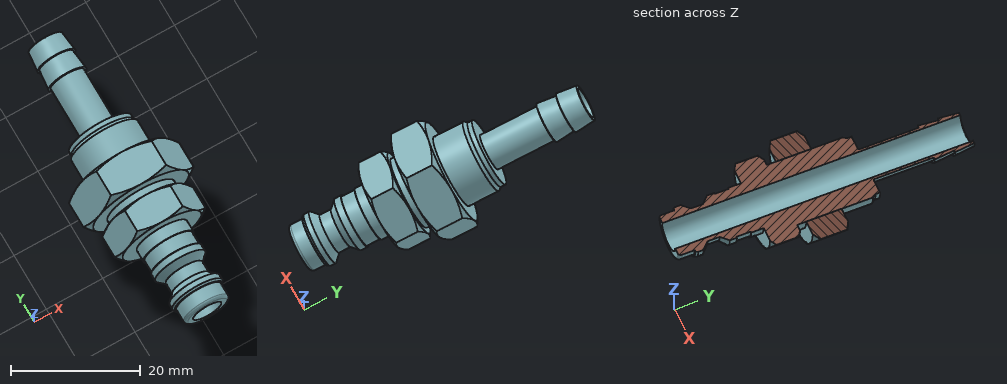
import cadquery as cq
import math

length = 50.0
bore_radius = 2.5

tip_radius = 4.0
tip_round = 0.5
plug_radius = 4.5
neck_radius = 3.3
relief_radius = 4.3
collar_start = 2.65
collar_lead_end = 3.05
collar_lead_size = 0.2
collar_end = 3.95
neck_cone_run = plug_radius - neck_radius
shoulder_start = 8.35
relief_start = 9.55
relief_end = 11.95

hex_start = 14.0
hex_width = 14.0
hex_height = 5.05

barrel_radius = 6.0
barrel_end = 33.1
barrel_step_radius = 5.6
barrel_step_length = 0.8
barrel_chamfer_run = 0.6

tail_radius = 3.0
barb_small_radius = 3.05
barb_large_radius = 3.4
barb_length = 3.4
barb_count = 2

nut_start = 20.5
nut_width = 17.0
nut_height = 6.0

corner_chamfer_angle = 30.0


def chamfered_hexagon(start, width, height):
    """Hexagonal prism along +Y, corners on the X axis, both ends coned off from the inscribed circle."""
    flat_radius = width / 2
    corner_radius = flat_radius / math.cos(math.radians(30))
    cone_run = (corner_radius - flat_radius) * math.tan(math.radians(corner_chamfer_angle))
    end = start + height
    prism = (
        cq.Workplane("XZ", origin=(0, start, 0))
        .polygon(6, 2 * corner_radius)
        .extrude(-height)
    )
    envelope = (
        cq.Workplane("XY")
        .polyline([
            (0, start),
            (flat_radius, start),
            (corner_radius, start + cone_run),
            (corner_radius, end - cone_run),
            (flat_radius, end),
            (0, end),
        ])
        .close()
        .revolve(360, (0, 0), (0, 1))
    )
    return prism.intersect(envelope)


def through_hole(radius):
    """Cylinder on the axis, over the full length of the fitting."""
    return cq.Workplane("XZ").circle(radius).extrude(-length)


def plug_outline():
    """Rounded tip, collar, locking neck and relieved shank, up to the fixed hexagon."""
    round_offset = tip_round * math.sin(math.radians(45))
    return (
        cq.Workplane("XY")
        .lineTo(tip_radius - tip_round, 0)
        .threePointArc(
            (tip_radius - tip_round + round_offset, tip_round - round_offset),
            (tip_radius, tip_round),
        )
        .lineTo(tip_radius, collar_start)
        .lineTo(plug_radius - collar_lead_size, collar_start)
        .lineTo(plug_radius, collar_lead_end)
        .lineTo(plug_radius, collar_end)
        .lineTo(neck_radius, collar_end + neck_cone_run)
        .lineTo(neck_radius, shoulder_start - neck_cone_run)
        .lineTo(plug_radius, shoulder_start)
        .lineTo(plug_radius, relief_start)
        .lineTo(relief_radius, relief_start)
        .lineTo(relief_radius, relief_end)
        .lineTo(plug_radius, relief_end)
        .lineTo(plug_radius, hex_start)
    )


def add_barrel(outline):
    """Barrel with a chamfered, stepped rear end."""
    step_start = barrel_end - barrel_step_length
    return (
        outline.lineTo(barrel_radius, hex_start)
        .lineTo(barrel_radius, step_start - barrel_chamfer_run)
        .lineTo(barrel_step_radius, step_start)
        .lineTo(barrel_step_radius, barrel_end)
    )


def add_hose_tail(outline):
    """Plain tube followed by conical barbs that narrow toward the rear end."""
    outline = outline.lineTo(tail_radius, barrel_end)
    barbs_start = length - barb_count * barb_length
    outline = outline.lineTo(tail_radius, barbs_start)
    for index in range(barb_count):
        barb_start = barbs_start + index * barb_length
        outline = outline.lineTo(barb_large_radius, barb_start)
        outline = outline.lineTo(barb_small_radius, barb_start + barb_length)
    return outline


def make_fitting():
    """Turned body with its fixed hexagon and through bore."""
    outline = add_hose_tail(add_barrel(plug_outline()))
    turned = outline.lineTo(0, length).close().revolve(360, (0, 0), (0, 1))
    hexagon = chamfered_hexagon(hex_start, hex_width, hex_height)
    return turned.union(hexagon).cut(through_hole(bore_radius))


def make_nut():
    """Hexagon nut whose bore fits the barrel."""
    return chamfered_hexagon(nut_start, nut_width, nut_height).cut(through_hole(barrel_radius))


fitting = make_fitting()
nut = make_nut()
result = cq.Compound.makeCompound([fitting.solids().val(), nut.solids().val()])